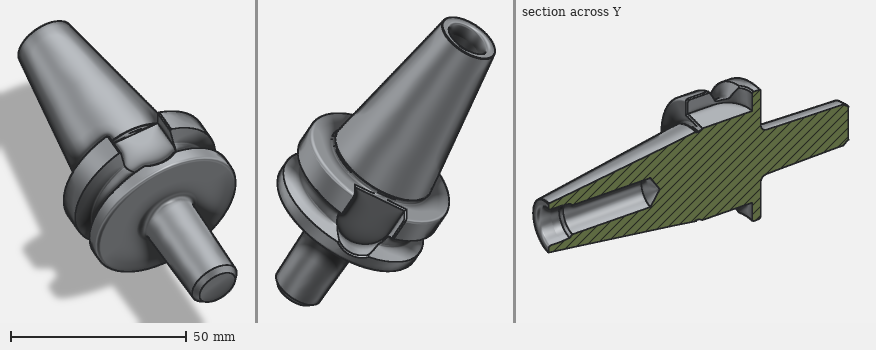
import cadquery as cq
import math

total_length = 99.4
taper_length = 48.9
flange_start = 50.5
flange_width = 20.0
flange_end = flange_start + flange_width

taper_ratio = 7 / 24
taper_large_radius = 15.9
taper_small_radius = taper_large_radius - taper_length * taper_ratio / 2
taper_tip_chamfer = 0.2
neck_radius = 15.6
neck_fillet = 0.8

flange_diameter = 46.0
flange_radius = flange_diameter / 2
flange_fillet = 1.1
groove_floor_radius = 19.0
groove_floor_start = 60.2
groove_floor_end = 63.8
groove_flank_angle = math.radians(30)
groove_flank_run = (flange_radius - groove_floor_radius) * math.tan(groove_flank_angle)
groove_fillet = 0.7

shank_base_diameter = 16.0
shank_base_radius = shank_base_diameter / 2
shank_tip_radius = 7.4
shank_tip_chamfer = 1.7
shank_tip_land_radius = 5.9
shank_base_fillet = 1.9

slot_width = 16.1
slot_end_x = 67.4
slot_floor_height = 16.3
slot_chamfer = 0.5

bore_radius = 6.3
bore_depth = 4.5
bore_mouth_fillet = 1.0
lead_radius = 6.0
lead_end = 7.1
drill_radius = 5.1
drill_end = 33.8
drill_tip_angle = math.radians(118)
countersink_end = lead_end + lead_radius - drill_radius

select_margin = 0.01


def revolve_about_x(points):
    """Solid of revolution of a closed (x, radius) outline."""
    outline = cq.Workplane("XY").polyline(points).close()
    return outline.revolve(360, (0, 0, 0), (1, 0, 0))


def fillet_ring(body, x, ring_radius, fillet_radius):
    """Round the full circular edge of the given radius centred on the axis at x."""

    def disc_region(half_size):
        return cq.selectors.BoxSelector(
            (x - select_margin, -half_size, -half_size),
            (x + select_margin, half_size, half_size),
            boundingbox=True,
        )

    ring = disc_region(ring_radius + select_margin) - disc_region(ring_radius - select_margin)
    return body.edges(ring).fillet(fillet_radius)


def turned_body():
    """Taper, neck, grooved flange and shank as one revolved solid with its rounded edges."""
    body = revolve_about_x([
        (0, 0),
        (0, taper_small_radius - taper_tip_chamfer),
        (taper_tip_chamfer, taper_small_radius),
        (taper_length, taper_large_radius),
        (taper_length, neck_radius),
        (flange_start, neck_radius),
        (flange_start, flange_radius),
        (groove_floor_start - groove_flank_run, flange_radius),
        (groove_floor_start, groove_floor_radius),
        (groove_floor_end, groove_floor_radius),
        (groove_floor_end + groove_flank_run, flange_radius),
        (flange_end, flange_radius),
        (flange_end, shank_base_radius),
        (total_length - shank_tip_chamfer, shank_tip_radius),
        (total_length, shank_tip_land_radius),
        (total_length, 0),
    ])
    body = fillet_ring(body, flange_start, neck_radius, neck_fillet)
    body = fillet_ring(body, flange_start, flange_radius, flange_fillet)
    body = fillet_ring(body, groove_floor_start, groove_floor_radius, groove_fillet)
    body = fillet_ring(body, groove_floor_end, groove_floor_radius, groove_fillet)
    body = fillet_ring(body, flange_end, flange_radius, flange_fillet)
    return fillet_ring(body, flange_end, shank_base_radius, shank_base_fillet)


def drive_slot(side):
    """Round-ended slot cutter on the +Z (side = 1) or -Z (side = -1) face."""
    half = slot_width / 2
    centre_x = slot_end_x - half
    return (
        cq.Workplane("XY", origin=(0, 0, side * slot_floor_height))
        .moveTo(taper_length, -half)
        .lineTo(centre_x, -half)
        .threePointArc((slot_end_x, 0), (centre_x, half))
        .lineTo(taper_length, half)
        .close()
        .extrude(side * flange_radius)
    )


def chamfer_slot_rim(body, side):
    """Bevel the slot edges on the flange face and on the flange outer cylinder."""
    half = slot_width / 2
    groove_start = groove_floor_start - groove_flank_run
    groove_end = groove_floor_end + groove_flank_run
    floor_z = side * (slot_floor_height - select_margin)
    rim_z = side * (flange_radius + select_margin)

    def slot_edges(x_from, x_to):
        return cq.selectors.BoxSelector(
            (x_from - select_margin, -half - select_margin, min(floor_z, rim_z)),
            (x_to + select_margin, half + select_margin, max(floor_z, rim_z)),
            boundingbox=True,
        )

    face_and_side_edges = slot_edges(flange_start, groove_start)
    end_edge = slot_edges(groove_end, slot_end_x)
    return body.edges(face_and_side_edges + end_edge).chamfer(slot_chamfer)


def bore():
    """Counterbore, lead cone, countersink and drilled hole with a conical bottom."""
    tip_length = drill_radius / math.tan(drill_tip_angle / 2)
    return revolve_about_x([
        (0, 0),
        (0, bore_radius),
        (bore_depth, bore_radius),
        (lead_end, lead_radius),
        (countersink_end, drill_radius),
        (drill_end, drill_radius),
        (drill_end + tip_length, 0),
    ])


body = turned_body()
for side in (1, -1):
    body = chamfer_slot_rim(body.cut(drive_slot(side)), side)

bored_body = body.cut(bore())
result = fillet_ring(bored_body, 0, bore_radius, bore_mouth_fillet)